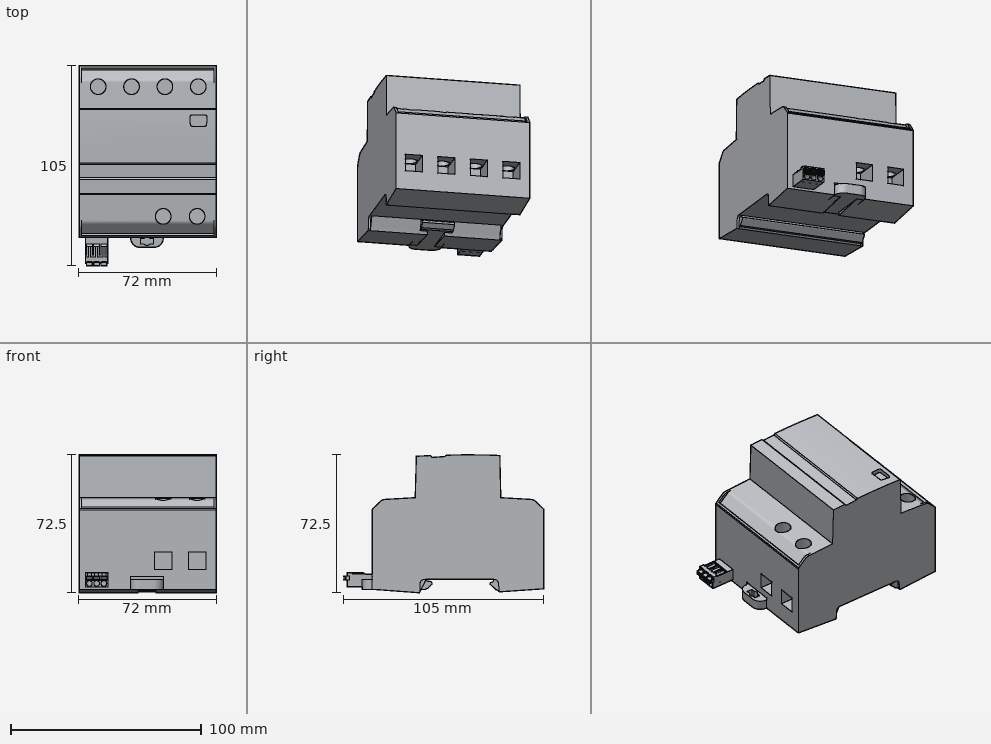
import cadquery as cq
import math

width = 72.0
half_width = width / 2
half_depth = 45.0
height = 72.49

tower_base_y = 22.5
tower_base_z = 50.0
shoulder_corner_y = 39.7
shoulder_corner_z = 49.0
slope_foot_z = 43.9
shoulder_fillet = 4.0
front_edge_chamfer = 0.4

crown_radius = 330.0
crown_peak_y = 6.0
crown_front_y = -6.1
crown_rear_y = 22.0

tower_front_top = (-21.9, 71.7)
trough_points = [(-14.6, 72.1), (-13.5, 71.1), (-6.8, 71.6)]

rail_ceiling_z = 7.1
rear_rail_edge_y = 21.7
rear_rail_edge_z = 0.5
front_rail_edge_y = -20.2
rear_wall_foot_z = 2.1
front_wall_foot_z = 1.85
relief_rear_wall_y = 21.2
relief_front_wall_y = -19.9
relief_chamfer_top_z = 0.9
end_relief_length = 1.2
relief_corner_radius = 2.2

hook_underside = [(20.8, 1.4), (19.8, 1.7), (17.0, 4.4)]
hook_tip = (16.7, 4.9)
hook_top = [(17.1, 5.4), (18.3, 5.9), (18.9, rail_ceiling_z)]
nose_top = [(-16.3, 6.3), (-14.4, 6.0)]
nose_tip = (-13.7, 5.5)
nose_underside = [(-13.7, 4.5), (-16.0, 2.3)]
nose_heel_y = -17.3

recess_half_length = 34.7
recess_depth = 1.5
recess_lip_y = 43.9
recess_arc_radius = 3.1

shaft_diameter = 8.2
shaft_y = 34.0
front_shaft_xs = (8.1, 25.9)
rear_shaft_pitch = 17.5
rear_shaft_first_x = -26.0
rear_shaft_count = 4
rear_shaft_xs = [rear_shaft_first_x + i * rear_shaft_pitch for i in range(rear_shaft_count)]
wire_entry_size = 9.1
wire_entry_z = 16.9
wire_entry_overrun = 0.5
wire_entry_end_y = shaft_y - shaft_diameter / 2 - wire_entry_overrun

window_x = 26.6
window_rear_y = 19.2
window_front_y = 13.2
window_rear_width = 9.3
window_front_width = 8.4
window_corner_radius = 1.2
window_depth = 2.5

latch_x = -0.4
latch_width = 17.2
latch_bottom_z = 1.75
latch_reach = 5.3
latch_corner_radius = 5.0
latch_slot_top_z = 8.5
latch_back_top_y = -16.7
latch_back_bottom_y = -19.4
latch_notch_width = 9.2
tool_hole_diameter = 4.4
tool_slot_length = 6.9
tool_slot_width = 3.0
tool_hole_depth = 4.0
tool_hole_offset = 2.0
tool_hole_y = -half_depth - tool_hole_offset

poles = 3
pole_pitch = 3.81
connector_x = -26.8
connector_width = 11.8
connector_bottom_z = 3.15
connector_back_top_z = 9.85
connector_top_z = 10.6
connector_front_y = -58.15
ramp_start_y = -48.5
ramp_end_y = -49.8
scallop_end_y = -55.3
ridge_width = 1.1
channel_width = 0.55
channel_ramp_start_y = -54.2
channel_ramp_end_y = -55.1
bump_front_y = -58.75
bump_bottom_z = 6.45
bump_edge_z = 7.0
wire_hole_diameter = 3.0
wire_hole_z = 4.95
wire_hole_depth = 5.0
front_notch_width = 2.1
front_notch_top_z = 10.35
front_notch_depth = 0.6

lever_width = 3.2
lever_bottom_z = 6.65
lever_top_z = 8.95
lever_seat_depth = 1.2
upper_lip_bottom_z = 8.3
lower_lip_top_z = 7.4
lower_lip_bottom_z = 6.9
lever_web_y = -59.2
lever_front_y = -59.96

pole_xs = [connector_x + (i - (poles - 1) / 2) * pole_pitch for i in range(poles)]
tool_margin = 1.0


def extrude_along_x(outline, x_start, x_end):
    """Extrude a closed outline drawn in (Y, Z) from x_start to x_end."""
    return outline.extrude(x_end - x_start).translate((x_start, 0, 0))


def box_between(x_range, y_range, z_range):
    """Box given by its limits along each axis."""
    sizes = [high - low for low, high in (x_range, y_range, z_range)]
    corner = (x_range[0], y_range[0], z_range[0])
    return cq.Workplane("XY").box(*sizes, centered=False).translate(corner)


def centred(middle, size):
    """Limits of a span of the given size about its middle."""
    return (middle - size / 2, middle + size / 2)


def crown_z(y):
    """Height of the crowned tower top at a given Y."""
    return height - crown_radius + math.sqrt(crown_radius**2 - (y - crown_peak_y) ** 2)


def housing_block():
    """Tower, shoulders and rail channel as one constant section along X."""
    outline = (
        cq.Workplane("YZ")
        .moveTo(-half_depth, front_wall_foot_z)
        .lineTo(-half_depth, slope_foot_z)
        .lineTo(-shoulder_corner_y, shoulder_corner_z)
        .lineTo(-tower_base_y, tower_base_z)
        .lineTo(*tower_front_top)
        .lineTo(*trough_points[0])
        .lineTo(*trough_points[1])
        .lineTo(*trough_points[2])
        .lineTo(crown_front_y, crown_z(crown_front_y))
        .threePointArc((crown_peak_y, height), (crown_rear_y, crown_z(crown_rear_y)))
        .lineTo(tower_base_y, tower_base_z)
        .lineTo(shoulder_corner_y, shoulder_corner_z)
        .lineTo(half_depth, slope_foot_z)
        .lineTo(half_depth, rear_wall_foot_z)
        .lineTo(rear_rail_edge_y, rear_rail_edge_z)
        .lineTo(*hook_underside[0])
        .lineTo(*hook_underside[1])
        .lineTo(*hook_underside[2])
        .threePointArc(hook_tip, hook_top[0])
        .lineTo(*hook_top[1])
        .lineTo(*hook_top[2])
        .lineTo(latch_back_top_y, rail_ceiling_z)
        .lineTo(latch_back_bottom_y, latch_bottom_z)
        .lineTo(front_rail_edge_y, 0)
        .close()
    )
    block = extrude_along_x(outline, -half_width, half_width)
    for side in (-1, 1):
        corner = cq.selectors.NearestToPointSelector((0, side * shoulder_corner_y, shoulder_corner_z))
        block = block.edges("|X").edges(corner).fillet(shoulder_fillet)
    front_edge = cq.selectors.NearestToPointSelector((0, -half_depth, slope_foot_z))
    return block.edges("|X").edges(front_edge).chamfer(front_edge_chamfer)


def end_relief(x_start, x_end):
    """Round-cornered channel that clears the rail hook at one end of the housing."""
    corner_z = rail_ceiling_z - relief_corner_radius
    bend = relief_corner_radius * (1 - math.sqrt(0.5))
    outline = (
        cq.Workplane("YZ")
        .moveTo(rear_rail_edge_y, -tool_margin)
        .lineTo(rear_rail_edge_y, rear_rail_edge_z)
        .lineTo(relief_rear_wall_y, corner_z)
        .threePointArc(
            (relief_rear_wall_y - bend, rail_ceiling_z - bend),
            (relief_rear_wall_y - relief_corner_radius, rail_ceiling_z),
        )
        .lineTo(relief_front_wall_y + relief_corner_radius, rail_ceiling_z)
        .threePointArc(
            (relief_front_wall_y + bend, rail_ceiling_z - bend),
            (relief_front_wall_y, corner_z),
        )
        .lineTo(relief_front_wall_y, relief_chamfer_top_z)
        .lineTo(front_rail_edge_y, 0)
        .lineTo(front_rail_edge_y, -tool_margin)
        .close()
    )
    return extrude_along_x(outline, x_start, x_end)


def label_recess():
    """Sunken strip along the rear shoulder slope; its floor curves up to the plateau."""
    plateau_angle = math.atan2(tower_base_z - shoulder_corner_z, shoulder_corner_y - tower_base_y)
    slope_angle = math.atan2(shoulder_corner_z - slope_foot_z, half_depth - shoulder_corner_y)

    lip_z = slope_foot_z + (half_depth - recess_lip_y) * math.tan(slope_angle)
    outward = (math.sin(slope_angle), math.cos(slope_angle))
    ledge_y = recess_lip_y - recess_depth * outward[0]
    ledge_z = lip_z - recess_depth * outward[1]

    plateau_z_at_ledge = shoulder_corner_z + (shoulder_corner_y - ledge_y) * math.tan(plateau_angle)
    corner_run = (plateau_z_at_ledge - ledge_z) / (math.tan(slope_angle) - math.tan(plateau_angle))
    corner_y = ledge_y - corner_run
    corner_z = ledge_z + corner_run * math.tan(slope_angle)

    tangent = recess_arc_radius * math.tan((slope_angle - plateau_angle) / 2)
    arc_start = (corner_y - tangent * math.cos(plateau_angle), corner_z + tangent * math.sin(plateau_angle))
    arc_end = (corner_y + tangent * math.cos(slope_angle), corner_z - tangent * math.sin(slope_angle))
    centre_y = arc_start[0] - recess_arc_radius * math.sin(plateau_angle)
    centre_z = arc_start[1] - recess_arc_radius * math.cos(plateau_angle)
    middle_angle = (plateau_angle + slope_angle) / 2
    arc_middle = (
        centre_y + recess_arc_radius * math.sin(middle_angle),
        centre_z + recess_arc_radius * math.cos(middle_angle),
    )

    outline = (
        cq.Workplane("YZ")
        .moveTo(*arc_start)
        .threePointArc(arc_middle, arc_end)
        .lineTo(ledge_y, ledge_z)
        .lineTo(recess_lip_y + outward[0], lip_z + outward[1])
        .lineTo(recess_lip_y + outward[0], tower_base_z)
        .lineTo(arc_start[0], tower_base_z)
        .close()
    )
    return extrude_along_x(outline, -recess_half_length, recess_half_length)


def terminal_cut(x, side):
    """Square wire entry and the round screw shaft above it; side is -1 front, +1 rear."""
    y_range = sorted((side * wire_entry_end_y, side * half_depth))
    entry = box_between(centred(x, wire_entry_size), y_range, centred(wire_entry_z, wire_entry_size))
    shaft = (
        cq.Workplane("XY")
        .center(x, side * shaft_y)
        .circle(shaft_diameter / 2)
        .extrude(tower_base_z - wire_entry_z)
        .translate((0, 0, wire_entry_z))
    )
    return entry.union(shaft)


def window_pocket():
    """Tapered pocket with rounded corners in the tower top."""
    return (
        cq.Workplane("XY")
        .polyline([
            (window_x - window_rear_width / 2, window_rear_y),
            (window_x + window_rear_width / 2, window_rear_y),
            (window_x + window_front_width / 2, window_front_y),
            (window_x - window_front_width / 2, window_front_y),
        ])
        .close()
        .extrude(window_depth)
        .edges("|Z")
        .fillet(window_corner_radius)
        .translate((0, 0, height - window_depth))
    )


def latch_passage():
    """Slot that guides the latch, with an open notch below it."""
    outline = cq.Workplane("YZ").polyline([
        (-half_depth, latch_bottom_z),
        (-half_depth, latch_slot_top_z),
        (latch_back_top_y, latch_slot_top_z),
        (latch_back_top_y, rail_ceiling_z),
        (latch_back_bottom_y, latch_bottom_z),
    ]).close()
    slot = extrude_along_x(outline, *centred(latch_x, latch_width))
    notch = box_between(
        centred(latch_x, latch_notch_width),
        (-half_depth, latch_back_bottom_y),
        (-tool_margin, latch_bottom_z),
    )
    return slot.union(notch)


def make_housing():
    """Housing block with all its recesses, shafts and openings cut."""
    body = housing_block()
    body = body.cut(end_relief(-half_width, -half_width + end_relief_length))
    body = body.cut(end_relief(half_width - end_relief_length, half_width))
    recess = label_recess()
    body = body.cut(recess).cut(recess.mirror("XZ"))
    for x in front_shaft_xs:
        body = body.cut(terminal_cut(x, -1))
    for x in rear_shaft_xs:
        body = body.cut(terminal_cut(x, 1))
    return body.cut(window_pocket()).cut(latch_passage())


def make_latch():
    """Sliding latch: bar with a hooked nose inside, rounded pull tab outside."""
    bar_outline = (
        cq.Workplane("YZ")
        .moveTo(-half_depth, latch_bottom_z)
        .lineTo(-half_depth, rail_ceiling_z)
        .lineTo(latch_back_top_y, rail_ceiling_z)
        .lineTo(*nose_top[0])
        .lineTo(*nose_top[1])
        .threePointArc(nose_tip, nose_underside[0])
        .lineTo(*nose_underside[1])
        .lineTo(nose_heel_y, latch_bottom_z)
        .close()
    )
    bar = extrude_along_x(bar_outline, *centred(latch_x, latch_width))
    tab = (
        box_between(
            centred(latch_x, latch_width),
            (-half_depth - latch_reach, -half_depth),
            (latch_bottom_z, rail_ceiling_z),
        )
        .edges("|Z and <Y")
        .fillet(latch_corner_radius)
    )
    tool_hole_floor_z = rail_ceiling_z - tool_hole_depth
    tool_hole = (
        cq.Workplane("XY")
        .center(latch_x, tool_hole_y)
        .circle(tool_hole_diameter / 2)
        .extrude(tool_hole_depth)
        .translate((0, 0, tool_hole_floor_z))
    )
    tool_slot = box_between(
        centred(latch_x, tool_slot_length),
        centred(tool_hole_y, tool_slot_width),
        (tool_hole_floor_z, rail_ceiling_z),
    )
    return bar.union(tab).cut(tool_hole).cut(tool_slot)


def pole_scallop(x):
    """Round groove between two ridges, centred on a pole boundary."""
    half_chord = (pole_pitch - ridge_width) / 2
    depth = connector_top_z - connector_back_top_z
    radius = (half_chord**2 + depth**2) / (2 * depth)
    return (
        cq.Workplane("XZ")
        .center(x, connector_back_top_z + radius)
        .circle(radius)
        .extrude(ramp_end_y - scallop_end_y)
        .translate((0, ramp_end_y, 0))
    )


def pole_channel(x):
    """Narrow channel on a pole boundary that ramps up at its front end."""
    outline = cq.Workplane("YZ").polyline([
        (ramp_start_y, connector_back_top_z),
        (channel_ramp_start_y, connector_back_top_z),
        (channel_ramp_end_y, connector_top_z),
        (ramp_start_y, connector_top_z),
    ]).close()
    return extrude_along_x(outline, *centred(x, channel_width))


def make_connector():
    """Plug body with ridged top, wire holes and lever seats."""
    outline = cq.Workplane("YZ").polyline([
        (-half_depth, connector_bottom_z),
        (-half_depth, connector_back_top_z),
        (ramp_start_y, connector_back_top_z),
        (ramp_end_y, connector_top_z),
        (connector_front_y, connector_top_z),
        (connector_front_y, lever_top_z),
        (bump_front_y, lever_top_z),
        (bump_front_y, bump_edge_z),
        (connector_front_y, bump_bottom_z),
        (connector_front_y, connector_bottom_z),
    ]).close()
    body = extrude_along_x(outline, *centred(connector_x, connector_width))
    for i in range(poles + 1):
        boundary_x = connector_x + (i - poles / 2) * pole_pitch
        body = body.cut(pole_scallop(boundary_x)).cut(pole_channel(boundary_x))
    for x in pole_xs:
        wire_hole = (
            cq.Workplane("XZ")
            .center(x, wire_hole_z)
            .circle(wire_hole_diameter / 2)
            .extrude(wire_hole_depth)
            .translate((0, connector_front_y + wire_hole_depth, 0))
        )
        lever_seat = box_between(
            centred(x, lever_width),
            (bump_front_y, connector_front_y + lever_seat_depth),
            (lever_bottom_z, lever_top_z),
        )
        front_notch = box_between(
            centred(x, front_notch_width),
            (connector_front_y, connector_front_y + front_notch_depth),
            (lever_top_z, front_notch_top_z),
        )
        body = body.cut(wire_hole).cut(lever_seat).cut(front_notch)
    return body


def make_lever(x):
    """Push lever with a lip along its top and a lip near its bottom edge."""
    outline = cq.Workplane("YZ").polyline([
        (connector_front_y + lever_seat_depth, lever_bottom_z),
        (connector_front_y + lever_seat_depth, lever_top_z),
        (lever_front_y, lever_top_z),
        (lever_front_y, upper_lip_bottom_z),
        (lever_web_y, upper_lip_bottom_z),
        (lever_web_y, lower_lip_top_z),
        (lever_front_y, lower_lip_top_z),
        (lever_front_y, lower_lip_bottom_z),
        (bump_front_y, lower_lip_bottom_z),
        (connector_front_y, lever_bottom_z),
    ]).close()
    return extrude_along_x(outline, *centred(x, lever_width))


housing = make_housing()
latch = make_latch()
connector = make_connector()
levers = [make_lever(x) for x in pole_xs]

result = cq.Compound.makeCompound([
    housing.val(),
    latch.val(),
    connector.val(),
    *[lever.val() for lever in levers],
])